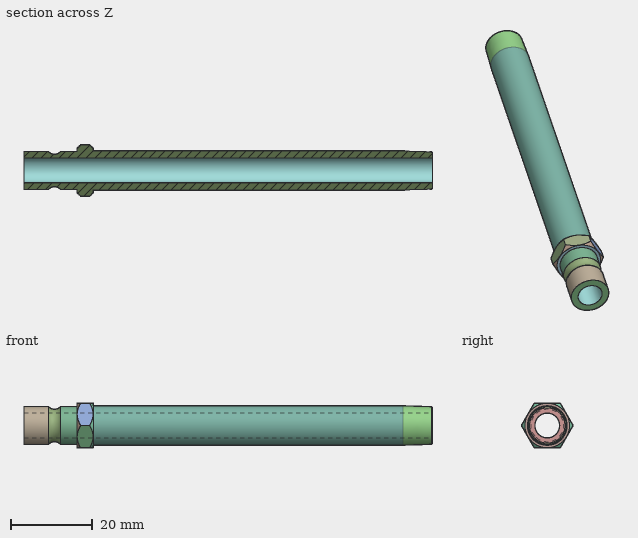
import cadquery as cq
import math

total_length = 100.0
groove_start = 6.0
groove_width = 3.0
hex_start = 13.0
hex_width = 4.0
taper_start = 92.8
end_chamfer = 0.3

plug_diameter = 9.4
groove_diameter = 8.0
tube_diameter = 9.7
bore_diameter = 6.0
hex_across_flats = 11.0
hex_face_diameter = 10.9
hex_chamfer_angle = 45.0
thread_taper = 1 / 16

plug_radius = plug_diameter / 2
groove_radius = groove_diameter / 2
tube_radius = tube_diameter / 2
groove_middle = groove_start + groove_width / 2
groove_end = groove_start + groove_width
hex_end = hex_start + hex_width
hex_across_corners = hex_across_flats / math.cos(math.radians(30))


def turned_body():
    """Plug with its locking groove, long tube and tapered thread end, as one solid bar."""
    tip_start = total_length - end_chamfer
    tip_radius = tube_radius - thread_taper / 2 * (tip_start - taper_start)
    return (
        cq.Workplane("XZ")
        .lineTo(0, plug_radius)
        .lineTo(groove_start, plug_radius)
        .threePointArc((groove_middle, groove_radius), (groove_end, plug_radius))
        .lineTo(hex_start, plug_radius)
        .lineTo(hex_end, plug_radius)
        .lineTo(hex_end, tube_radius)
        .lineTo(taper_start, tube_radius)
        .lineTo(tip_start, tip_radius)
        .lineTo(total_length, tip_radius - end_chamfer)
        .lineTo(total_length, 0)
        .close()
        .revolve(360, (0, 0, 0), (1, 0, 0))
    )


def hex_collar():
    """Hexagon with corners on the Y axis, its corners turned off conically at both ends."""
    hexagon = (
        cq.Workplane("YZ", origin=(hex_start, 0, 0))
        .polygon(6, hex_across_corners)
        .extrude(hex_width)
    )
    face_radius = hex_face_diameter / 2
    corner_radius = hex_across_corners / 2
    chamfer_length = (corner_radius - face_radius) * math.tan(math.radians(hex_chamfer_angle))
    corner_envelope = (
        cq.Workplane("XZ")
        .moveTo(hex_start, 0)
        .lineTo(hex_start, face_radius)
        .lineTo(hex_start + chamfer_length, corner_radius)
        .lineTo(hex_end - chamfer_length, corner_radius)
        .lineTo(hex_end, face_radius)
        .lineTo(hex_end, 0)
        .close()
        .revolve(360, (0, 0, 0), (1, 0, 0))
    )
    return hexagon.intersect(corner_envelope)


bore = cq.Workplane("YZ").circle(bore_diameter / 2).extrude(total_length)
result = turned_body().union(hex_collar()).cut(bore)